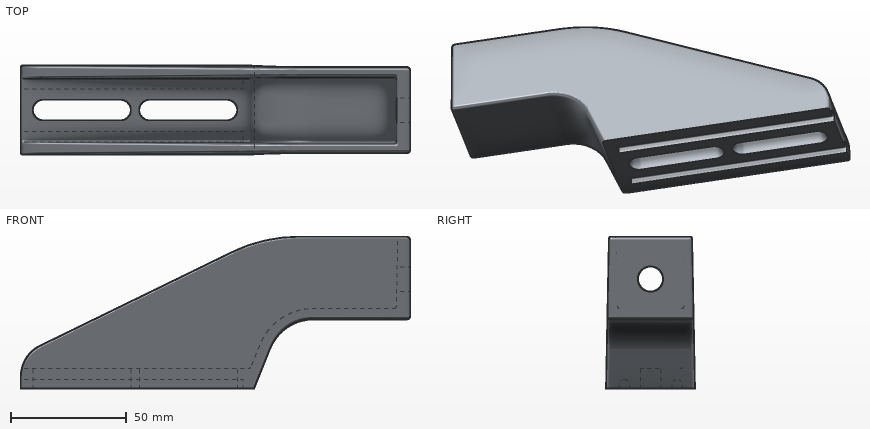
import cadquery as cq
import math

length = 168.0
base_width = 38.5
height = 65.5
draft = 1.1

slope_angle = 26.0
slope_end_x = 104.8
nose_radius = 15.1
shoulder_radius = 67.2
foot_length = 100.6
heel_angle = 68.0
arm_bottom = 29.7
heel_radius = 19.8

rim_wall = 3.0
end_wall = 5.5
step_wall = 4.9
floor_height = 8.7
cavity_fillet = 1.2
floor_lip_fillet = 0.8

rim_fillet = 1.0
lower_fillet = 1.7

slot_length = 42.2
slot_width = 8.7
slot_centers = (26.4, 72.2)
hole_diameter = 10.8
hole_height = 47.2
groove_width = 4.4
groove_depth = 4.0
groove_offset = 11.5
groove_length = foot_length - step_wall

tan_draft = math.tan(math.radians(draft))
tan_heel = math.tan(math.radians(heel_angle))
top_width = base_width - 2 * height * tan_draft
nose_corner_z = height - slope_end_x * math.tan(math.radians(slope_angle))
heel_corner_x = foot_length + arm_bottom / tan_heel


def round_corner(body, x, z, radius):
    """Round the edge across the width that passes through (x, z)."""
    margin = 0.2
    selector = cq.selectors.BoxSelector(
        (x - margin, -base_width, z - margin), (x + margin, base_width, z + margin)
    )
    return body.edges(selector).fillet(radius)


def outer_body():
    side = (
        cq.Workplane("XZ")
        .polyline([
            (0, 0),
            (foot_length, 0),
            (heel_corner_x, arm_bottom),
            (length, arm_bottom),
            (length, height),
            (slope_end_x, height),
            (0, nose_corner_z),
        ])
        .close()
        .extrude(base_width / 2, both=True)
    )
    side = round_corner(side, 0, nose_corner_z, nose_radius)
    side = round_corner(side, slope_end_x, height, shoulder_radius)
    side = round_corner(side, heel_corner_x, arm_bottom, heel_radius)
    section = (
        cq.Workplane("YZ")
        .polyline([
            (-base_width / 2, 0),
            (base_width / 2, 0),
            (top_width / 2, height),
            (-top_width / 2, height),
        ])
        .close()
        .extrude(length)
    )
    return side.intersect(section)


def round_outer_edges(body):
    """Round the arm end and underside, then the rim and the nose; the base stays sharp."""
    clearance = 1.7
    heel_start_x = heel_corner_x - heel_radius
    lower_zone = cq.selectors.BoxSelector(
        (heel_start_x, -base_width, clearance),
        (length - clearance, base_width, arm_bottom + clearance),
    )
    above_base = cq.selectors.BoxSelector(
        (-clearance, -base_width, clearance),
        (length - lower_fillet, base_width, height + clearance),
    )
    end_edges = body.faces(">X").edges()
    lower_edges = body.edges(lower_zone).edges("not |Y")
    body = end_edges.add(lower_edges).fillet(lower_fillet)
    rim_edges = body.faces("<Y or >Y").edges(above_base - lower_zone)
    return rim_edges.fillet(rim_fillet)


def cavity():
    """Tapered pocket, open at the top and the nose, stepping up onto the arm."""
    overrun = 16.8
    rim_end = length - end_wall
    rim_half = top_width / 2 - rim_wall
    mouth = cq.Workplane("XY").workplane(offset=height).center((rim_end - overrun) / 2, 0)
    pocket = mouth.rect(rim_end + overrun, 2 * rim_half).extrude(floor_height - height, taper=draft)

    arm_floor = arm_bottom + step_wall
    step_foot_x = foot_length - step_wall / math.sin(math.radians(heel_angle))
    step_corner_x = step_foot_x + arm_floor / tan_heel
    step = (
        cq.Workplane("XZ")
        .polyline([(step_foot_x, 0), (step_corner_x, arm_floor), (length, arm_floor), (length, 0)])
        .close()
        .extrude(base_width, both=True)
    )
    step = step.edges(
        cq.selectors.NearestToPointSelector((step_corner_x, 0, arm_floor))
    ).fillet(heel_radius + step_wall)
    pocket = pocket.cut(step)
    below_mouth = cq.selectors.BoxSelector((0, -base_width, 0), (length, base_width, height - 1.7))
    smooth_joints = cq.selectors.BoxSelector(
        (step_foot_x + 3.4, -1.7, floor_height + 1.7), (rim_end - 8.4, 1.7, height)
    )
    return pocket.edges(below_mouth - smooth_joints).fillet(cavity_fillet)


def slots():
    return (
        cq.Workplane("XY")
        .pushPoints([(x, 0) for x in slot_centers])
        .slot2D(slot_length, slot_width)
        .extrude(height)
    )


def end_hole():
    return (
        cq.Workplane("YZ", origin=(length / 2, 0, 0))
        .center(0, hole_height)
        .circle(hole_diameter / 2)
        .extrude(length)
    )


def grooves():
    """Round-topped grooves in the mounting face, open at the nose and closed at the heel."""
    radius = groove_width / 2
    straight = groove_depth - radius
    tools = cq.Workplane("YZ")
    for y in (-groove_offset, groove_offset):
        tools = (
            tools.moveTo(y - radius, 0)
            .lineTo(y - radius, straight)
            .threePointArc((y, groove_depth), (y + radius, straight))
            .lineTo(y + radius, 0)
            .close()
        )
    return tools.extrude(groove_length)


def round_floor_lip(body):
    """Round the front edge of the cavity floor, at the nose."""
    lip = cq.selectors.NearestToPointSelector((0, 0, floor_height))
    return body.edges(lip).fillet(floor_lip_fillet)


result = round_outer_edges(outer_body()).cut(cavity())
result = round_floor_lip(result)
result = result.cut(slots()).cut(end_hole()).cut(grooves())